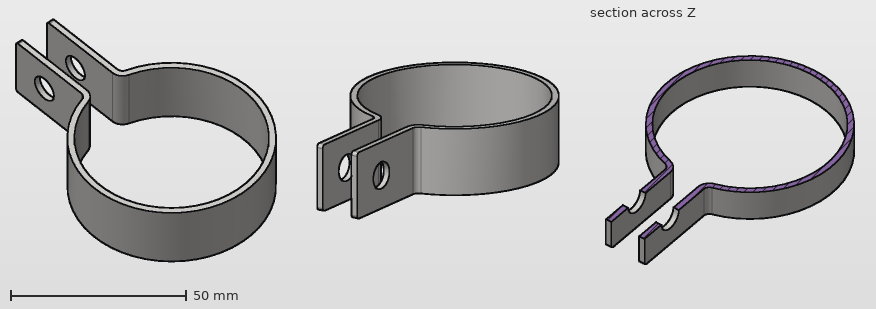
import cadquery as cq
import math

total_length = 87.7
strip_width = 20.0
thickness = 2.0
ring_diameter = 59.6
ear_gap = 10.0
bend_radius = 2.0
hole_diameter = 8.0
hole_from_end = 11.9
corner_radius = 1.0

ring_radius = ring_diameter / 2
bore_radius = ring_radius - thickness
ear_end = ring_radius - total_length
ear_inner = ear_gap / 2
ear_outer = ear_inner + thickness

bend_y = ear_outer + bend_radius
bend_distance = ring_radius + bend_radius
bend_x = -math.sqrt(bend_distance**2 - bend_y**2)
ring_angle = math.atan2(bend_y, bend_x)
bend_mid_angle = (ring_angle - math.pi - math.pi / 2) / 2


def on_ring(radius, side):
    """Point where the bend meets a ring face, on the +Y or -Y side."""
    return radius * math.cos(ring_angle), side * radius * math.sin(ring_angle)


def on_bend(radius, side):
    """Middle point of a bend arc."""
    x = bend_x + radius * math.cos(bend_mid_angle)
    y = bend_y + radius * math.sin(bend_mid_angle)
    return x, side * y


def make_strip():
    """Bent strip: ring, two bends and two parallel ears."""
    outer_bend = bend_radius
    inner_bend = bend_radius + thickness
    return (
        cq.Workplane("XY")
        .moveTo(ear_end, ear_outer)
        .lineTo(bend_x, ear_outer)
        .threePointArc(on_bend(outer_bend, 1), on_ring(ring_radius, 1))
        .threePointArc((ring_radius, 0), on_ring(ring_radius, -1))
        .threePointArc(on_bend(outer_bend, -1), (bend_x, -ear_outer))
        .lineTo(ear_end, -ear_outer)
        .lineTo(ear_end, -ear_inner)
        .lineTo(bend_x, -ear_inner)
        .threePointArc(on_bend(inner_bend, -1), on_ring(bore_radius, -1))
        .threePointArc((bore_radius, 0), on_ring(bore_radius, 1))
        .threePointArc(on_bend(inner_bend, 1), (bend_x, ear_inner))
        .lineTo(ear_end, ear_inner)
        .close()
        .extrude(strip_width / 2, both=True)
    )


def make_bolt_hole():
    """Cylinder through both ears."""
    return (
        cq.Workplane("XZ")
        .center(ear_end + hole_from_end, 0)
        .circle(hole_diameter / 2)
        .extrude(ear_outer, both=True)
    )


strip = make_strip().faces("<X").edges("|Y").fillet(corner_radius)
result = strip.cut(make_bolt_hole())